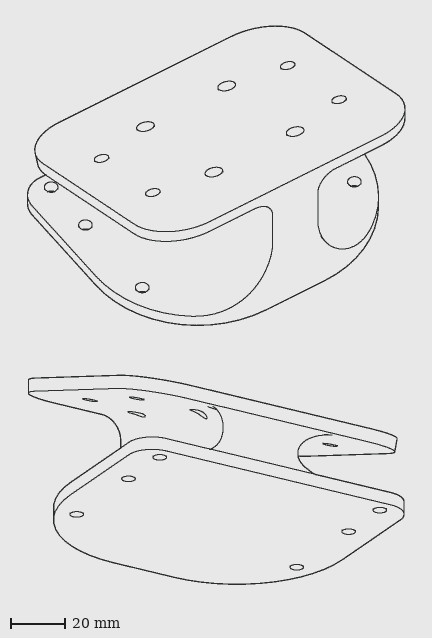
import cadquery as cq
import math

WIDTH = 116.0
TOTAL_LENGTH = 98.75
TOTAL_HEIGHT = 63.85
TILT = 20.0
THICKNESS = 5.0

BASE_LENGTH = 97.1
BASE_FRONT_RADIUS = 10.0
BASE_BACK_RADIUS = 45.0
BASE_HOLE_DIAMETER = 5.0
BASE_HOLE_X = (6.2, 28.8, 66.2)
BASE_HOLE_Y = 47.0

PLATE_CORNER_RADIUS = 20.0
SMALL_HOLE_DIAMETER = 5.4
SMALL_HOLE_PITCH = 36.0
SMALL_HOLE_Y = 41.25
LARGE_HOLE_DIAMETER = 6.6
LARGE_HOLE_PITCH = 48.0
LARGE_HOLE_Y = 18.0

PEDESTAL_HALF_WIDTH = 10.0
SIDE_RADIUS = 30.0
FRONT_RADIUS = 14.0
TOP_FILLET_RADIUS = 8.0

SLOPE = math.tan(math.radians(TILT))
COS_TILT = math.cos(math.radians(TILT))
SIN_TILT = math.sin(math.radians(TILT))
PLATE_FRONT_X = BASE_LENGTH - TOTAL_LENGTH
UNDERSIDE_DROP = THICKNESS / COS_TILT
SLAB_LENGTH = TOTAL_LENGTH / COS_TILT + THICKNESS
HOLE_DEPTH = 8.0
TOLERANCE = 1e-4


def make_outline(height):
    """Upright block with the outline of the base: small front corners and large back corners."""
    block = cq.Workplane("XY").box(BASE_LENGTH, WIDTH, height, centered=(False, True, False))
    block = block.edges("|Z and <X").fillet(BASE_FRONT_RADIUS)
    return block.edges("|Z and >X").fillet(BASE_BACK_RADIUS)


def slope_plane(x):
    """Work plane on the tilted plate's top face at x, with its own x direction up the slope."""
    return cq.Plane(
        origin=(x, 0, TOTAL_HEIGHT - (BASE_LENGTH - x) * SLOPE),
        xDir=(COS_TILT, 0, SIN_TILT),
        normal=(-SIN_TILT, 0, COS_TILT),
    )


def make_tilted_plate():
    """Sloping plate, square-ended at the front and cut upright at the back."""
    slab = (
        cq.Workplane(slope_plane(PLATE_FRONT_X))
        .center(SLAB_LENGTH / 2, 0)
        .rect(SLAB_LENGTH, WIDTH)
        .extrude(-THICKNESS)
        .faces("<X")
        .edges("not |Y")
        .fillet(PLATE_CORNER_RADIUS)
    )
    outline = (
        cq.Workplane("XY")
        .box(TOTAL_LENGTH, WIDTH, TOTAL_HEIGHT, centered=(False, True, False))
        .translate((PLATE_FRONT_X, 0, 0))
        .edges("|Z and >X")
        .fillet(PLATE_CORNER_RADIUS)
    )
    return slab.intersect(outline)


def underside_z(x):
    """Height of the tilted plate's underside at x."""
    return TOTAL_HEIGHT - UNDERSIDE_DROP - (BASE_LENGTH - x) * SLOPE


def make_side_section():
    """Column with a concave flare down to the base on each Y side, running the length of the base."""
    toe_y = PEDESTAL_HALF_WIDTH + SIDE_RADIUS
    axis_z = THICKNESS + SIDE_RADIUS
    bend = SIDE_RADIUS * math.sqrt(0.5)
    return (
        cq.Workplane("YZ")
        .moveTo(-toe_y, THICKNESS)
        .threePointArc((-toe_y + bend, axis_z - bend), (-PEDESTAL_HALF_WIDTH, axis_z))
        .lineTo(-PEDESTAL_HALF_WIDTH, TOTAL_HEIGHT)
        .lineTo(PEDESTAL_HALF_WIDTH, TOTAL_HEIGHT)
        .lineTo(PEDESTAL_HALF_WIDTH, axis_z)
        .threePointArc((toe_y - bend, axis_z - bend), (toe_y, THICKNESS))
        .close()
        .extrude(BASE_LENGTH)
    )


def make_front_section():
    """Wedge under the tilted plate, with a concave front that starts at the base's front edge."""
    axis_z = THICKNESS + FRONT_RADIUS
    bend = FRONT_RADIUS * math.sqrt(0.5)
    return (
        cq.Workplane("XZ")
        .moveTo(0, THICKNESS)
        .threePointArc((bend, axis_z - bend), (FRONT_RADIUS, axis_z))
        .lineTo(FRONT_RADIUS, underside_z(FRONT_RADIUS))
        .lineTo(BASE_LENGTH, underside_z(BASE_LENGTH))
        .lineTo(BASE_LENGTH, THICKNESS)
        .close()
        .extrude(WIDTH / 2, both=True)
    )


def make_pedestal():
    """Flared column, mitred at the front corners and trimmed to the base outline."""
    return make_side_section().intersect(make_front_section()).intersect(make_outline(TOTAL_HEIGHT))


def is_joint_edge(edge):
    """True for an edge where the pedestal meets the tilted plate's underside."""
    for point in edge.positions([0, 0.5, 1]):
        on_underside = abs(point.z - underside_z(point.x)) < TOLERANCE
        near_pedestal = abs(point.y) < 2 * PEDESTAL_HALF_WIDTH and point.x > FRONT_RADIUS / 2
        if not (on_underside and near_pedestal):
            return False
    return True


def fillet_joint(body):
    """Round the inside corner between the pedestal and the tilted plate."""
    joint_edges = [edge for edge in body.edges().vals() if is_joint_edge(edge)]
    return body.newObject(joint_edges).fillet(TOP_FILLET_RADIUS)


def drill_base(body):
    """Two rows of three upright screw holes beside the pedestal."""
    points = [(x, side * BASE_HOLE_Y) for x in BASE_HOLE_X for side in (-1, 1)]
    drills = cq.Workplane("XY").pushPoints(points).circle(BASE_HOLE_DIAMETER / 2).extrude(THICKNESS)
    return body.cut(drills)


def drill_plate(body, diameter, pitch, offset_y):
    """Four holes square to the tilted plate, centred on its top face."""
    drills = (
        cq.Workplane(slope_plane(PLATE_FRONT_X + TOTAL_LENGTH / 2))
        .rect(pitch, 2 * offset_y, forConstruction=True)
        .vertices()
        .circle(diameter / 2)
        .extrude(-HOLE_DEPTH)
    )
    return body.cut(drills)


body = make_pedestal().union(make_tilted_plate())
body = fillet_joint(body)
body = body.union(make_outline(THICKNESS))
body = drill_base(body)
body = drill_plate(body, SMALL_HOLE_DIAMETER, SMALL_HOLE_PITCH, SMALL_HOLE_Y)
result = drill_plate(body, LARGE_HOLE_DIAMETER, LARGE_HOLE_PITCH, LARGE_HOLE_Y)